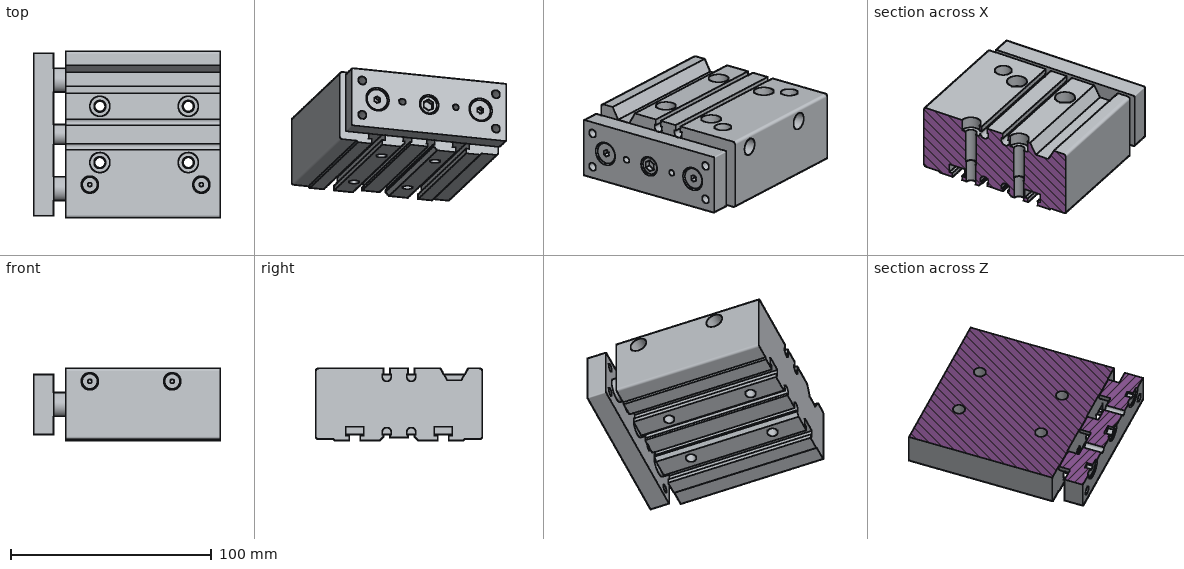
import cadquery as cq
import math


PLATE_THICKNESS = 10.0
PLATE_WIDTH = 81.0
PLATE_HEIGHT = 30.0
PLATE_EDGE_RADIUS = 0.6
ROD_GAP = 6.0
GUIDE_ROD_DIAMETER = 12.0
GUIDE_ROD_Y = 27.0
PISTON_ROD_DIAMETER = 10.0
GUIDE_RECESS_FLOOR_DIAMETER = 10.6
PISTON_RECESS_FLOOR_DIAMETER = 8.6
END_RECESS_DEPTH = 0.7
GUIDE_SOCKET_ACROSS_FLATS = 3.0
PISTON_SOCKET_ACROSS_FLATS = 5.0
SOCKET_DEPTH = 3.0
CORNER_HOLE_DIAMETER = 4.2
CORNER_HOLE_Y = 35.0
CORNER_HOLE_Z = 9.0
DOWEL_DIAMETER = 3.0
DOWEL_Y = 14.0
DOWEL_SLOT_LENGTH = 3.5

HOUSING_LENGTH = 77.0
HOUSING_WIDTH = 83.0
HOUSING_HEIGHT = 36.0
HOUSING_EDGE_RADIUS = 1.5
LOWER_EDGE_RADIUS = 1.2
BOTTOM_STEP = 0.75
BOTTOM_STEP_Y = 32.0
HOUSING_X = PLATE_THICKNESS + ROD_GAP
HALF_WIDTH = HOUSING_WIDTH / 2
TOP_Z = HOUSING_HEIGHT / 2
BOTTOM_Z = -TOP_Z

VEE_DEPTH = 6.0
VEE_TOP_Y = (20.6, 34.4)
VEE_FLOOR_Y = (24.0, 31.0)
SENSOR_GROOVE_Y = 6.1
SENSOR_NECK_WIDTH = 3.0
SENSOR_NECK_DEPTH = 3.0
SENSOR_HEAD_WIDTH = 4.4
SENSOR_HEAD_AXIS_DEPTH = 4.3
CENTRE_LAND_DEPTH = 1.5
LAND_CHAMFER = 1.9
T_SLOT_Y = 22.0
T_SLOT_NECK_WIDTH = 5.4
T_SLOT_HEAD_WIDTH = 8.8
T_SLOT_NECK_DEPTH = 2.5
T_SLOT_HEAD_DEPTH = 4.5

MOUNT_X = (17.0, 61.0)
MOUNT_Y = 14.0
MOUNT_DIAMETER = 5.8
MOUNT_LOWER_DIAMETER = 5.2
MOUNT_LOWER_LENGTH = 12.0
COUNTERBORE_DIAMETER = 10.0
COUNTERBORE_DEPTH = 6.0
PORT_DIAMETER = 8.5
PORT_FLOOR_DIAMETER = 7.6
PORT_DEPTH = 8.0
PORT_PASSAGE_DIAMETER = 2.0
PORT_PASSAGE_DEPTH = 3.0
TOP_PORT_X = (12.0, 67.5)
TOP_PORT_Y = -25.0
SIDE_PORT_X = (12.0, 53.0)
SIDE_PORT_Z = 11.5

X_DIRECTION = cq.Vector(1, 0, 0)


def section(x):
    """Sketch plane across the stroke: local x is Y, local y is Z, extrusion goes to +X."""
    return cq.Workplane("YZ", origin=(x, 0, 0))


def cone(large_diameter, small_diameter, depth, start, direction):
    return cq.Solid.makeCone(large_diameter / 2, small_diameter / 2, depth, start, direction)


def cylinder(diameter, depth, start, direction):
    return cq.Solid.makeCylinder(diameter / 2, depth, start, direction)


def rod_recess(y, diameter, floor_diameter):
    return cone(diameter, floor_diameter, END_RECESS_DEPTH, cq.Vector(0, y, 0), X_DIRECTION)


def hex_socket(y, across_flats):
    """Hexagon socket in a recessed rod end, two of its corners one above the other."""
    across_corners = across_flats / math.cos(math.pi / 6)
    plane = section(END_RECESS_DEPTH).center(y, 0).transformed(rotate=(0, 0, 90))
    return plane.polygon(6, across_corners).extrude(SOCKET_DEPTH)


def make_rod_plate():
    plate = section(0).rect(PLATE_WIDTH, PLATE_HEIGHT).extrude(PLATE_THICKNESS)
    plate = plate.edges("|X").fillet(PLATE_EDGE_RADIUS)
    guide_points = [(-GUIDE_ROD_Y, 0), (GUIDE_ROD_Y, 0)]

    rods = section(PLATE_THICKNESS).pushPoints(guide_points).circle(GUIDE_ROD_DIAMETER / 2).extrude(ROD_GAP)
    piston = section(PLATE_THICKNESS).circle(PISTON_ROD_DIAMETER / 2).extrude(ROD_GAP)
    plate = plate.union(rods).union(piston)

    for y, _ in guide_points:
        plate = plate.cut(cq.Workplane(rod_recess(y, GUIDE_ROD_DIAMETER, GUIDE_RECESS_FLOOR_DIAMETER)))
        plate = plate.cut(hex_socket(y, GUIDE_SOCKET_ACROSS_FLATS))
    plate = plate.cut(cq.Workplane(rod_recess(0, PISTON_ROD_DIAMETER, PISTON_RECESS_FLOOR_DIAMETER)))
    plate = plate.cut(hex_socket(0, PISTON_SOCKET_ACROSS_FLATS))

    corners = section(0).rect(2 * CORNER_HOLE_Y, 2 * CORNER_HOLE_Z, forConstruction=True).vertices()
    plate = plate.cut(corners.circle(CORNER_HOLE_DIAMETER / 2).extrude(PLATE_THICKNESS))
    dowel_hole = section(0).center(-DOWEL_Y, 0).circle(DOWEL_DIAMETER / 2)
    plate = plate.cut(dowel_hole.extrude(PLATE_THICKNESS))
    dowel_slot = section(0).center(DOWEL_Y, 0).slot2D(DOWEL_SLOT_LENGTH, DOWEL_DIAMETER)
    return plate.cut(dowel_slot.extrude(PLATE_THICKNESS))


def box_groove(y, width, z_low, z_high):
    groove = section(HOUSING_X).center(y, (z_low + z_high) / 2)
    return groove.rect(width, z_high - z_low).extrude(HOUSING_LENGTH)


def profile_groove(points):
    return section(HOUSING_X).polyline(points).close().extrude(HOUSING_LENGTH)


def sensor_groove(y, side):
    """Undercut groove with a half-round bottom, in the top (side = 1) or the underside (side = -1)."""
    surface_z = side * TOP_Z
    ledge_z = surface_z - side * SENSOR_NECK_DEPTH
    axis_z = surface_z - side * SENSOR_HEAD_AXIS_DEPTH
    head_radius = SENSOR_HEAD_WIDTH / 2
    outline = (
        section(HOUSING_X)
        .moveTo(y - SENSOR_NECK_WIDTH / 2, surface_z)
        .lineTo(y - SENSOR_NECK_WIDTH / 2, ledge_z)
        .lineTo(y - head_radius, ledge_z)
        .lineTo(y - head_radius, axis_z)
        .threePointArc((y, axis_z - side * head_radius), (y + head_radius, axis_z))
        .lineTo(y + head_radius, ledge_z)
        .lineTo(y + SENSOR_NECK_WIDTH / 2, ledge_z)
        .lineTo(y + SENSOR_NECK_WIDTH / 2, surface_z)
        .close()
    )
    return outline.extrude(HOUSING_LENGTH)


def t_slot(y):
    neck_top = BOTTOM_Z + T_SLOT_NECK_DEPTH
    neck = box_groove(y, T_SLOT_NECK_WIDTH, BOTTOM_Z, neck_top)
    return neck.union(box_groove(y, T_SLOT_HEAD_WIDTH, neck_top, neck_top + T_SLOT_HEAD_DEPTH))


def lower_side_relief(side):
    step_z = BOTTOM_Z + BOTTOM_STEP
    return profile_groove([
        (side * HALF_WIDTH, BOTTOM_Z),
        (side * BOTTOM_STEP_Y, BOTTOM_Z),
        (side * (BOTTOM_STEP_Y + BOTTOM_STEP), step_z),
        (side * HALF_WIDTH, step_z),
    ])


def lower_land_chamfer(side):
    groove_edge = SENSOR_GROOVE_Y + SENSOR_NECK_WIDTH / 2
    return profile_groove([
        (side * groove_edge, BOTTOM_Z),
        (side * (groove_edge + LAND_CHAMFER), BOTTOM_Z),
        (side * groove_edge, BOTTOM_Z + LAND_CHAMFER),
    ])


def mounting_hole(x, y):
    """Stepped through hole: counterbore, clearance bore and narrower lower end."""
    top = cq.Vector(HOUSING_X + x, y, TOP_Z)
    down = cq.Vector(0, 0, -1)
    hole = cq.Workplane(cylinder(MOUNT_LOWER_DIAMETER, HOUSING_HEIGHT, top, down))
    hole = hole.union(cq.Workplane(cylinder(MOUNT_DIAMETER, HOUSING_HEIGHT - MOUNT_LOWER_LENGTH, top, down)))
    return hole.union(cq.Workplane(cylinder(COUNTERBORE_DIAMETER, COUNTERBORE_DEPTH, top, down)))


def air_port(mouth, direction):
    """Tapered port with a small passage in the middle of its floor."""
    port = cq.Workplane(cone(PORT_DIAMETER, PORT_FLOOR_DIAMETER, PORT_DEPTH, mouth, direction))
    passage_length = PORT_DEPTH + PORT_PASSAGE_DEPTH
    return port.union(cq.Workplane(cylinder(PORT_PASSAGE_DIAMETER, passage_length, mouth, direction)))


def make_housing():
    housing = section(HOUSING_X).rect(HOUSING_WIDTH, HOUSING_HEIGHT).extrude(HOUSING_LENGTH)

    housing = housing.edges("|X and >Z").fillet(HOUSING_EDGE_RADIUS)

    for side in (-1, 1):
        housing = housing.cut(lower_side_relief(side))
    for side in (-1, 1):
        corner = cq.NearestToPointSelector((HOUSING_X + HOUSING_LENGTH / 2, side * HALF_WIDTH, BOTTOM_Z))
        housing = housing.edges("|X").edges(corner).fillet(LOWER_EDGE_RADIUS)

    floor_z = TOP_Z - VEE_DEPTH
    housing = housing.cut(profile_groove([
        (VEE_TOP_Y[0], TOP_Z),
        (VEE_FLOOR_Y[0], floor_z),
        (VEE_FLOOR_Y[1], floor_z),
        (VEE_TOP_Y[1], TOP_Z),
    ]))

    for side in (-1, 1):
        housing = housing.cut(sensor_groove(side * SENSOR_GROOVE_Y, 1))
        housing = housing.cut(sensor_groove(side * SENSOR_GROOVE_Y, -1))
        housing = housing.cut(lower_land_chamfer(side))
        housing = housing.cut(t_slot(side * T_SLOT_Y))
    housing = housing.cut(box_groove(0, 2 * SENSOR_GROOVE_Y, BOTTOM_Z, BOTTOM_Z + CENTRE_LAND_DEPTH))

    for x in MOUNT_X:
        for y in (-MOUNT_Y, MOUNT_Y):
            housing = housing.cut(mounting_hole(x, y))
    for x in TOP_PORT_X:
        mouth = cq.Vector(HOUSING_X + x, TOP_PORT_Y, TOP_Z)
        housing = housing.cut(air_port(mouth, cq.Vector(0, 0, -1)))
    for x in SIDE_PORT_X:
        mouth = cq.Vector(HOUSING_X + x, -HALF_WIDTH, SIDE_PORT_Z)
        housing = housing.cut(air_port(mouth, cq.Vector(0, 1, 0)))
    return housing


rod_plate = make_rod_plate()
housing = make_housing()
result = cq.Compound.makeCompound([rod_plate.solids().val(), housing.solids().val()])